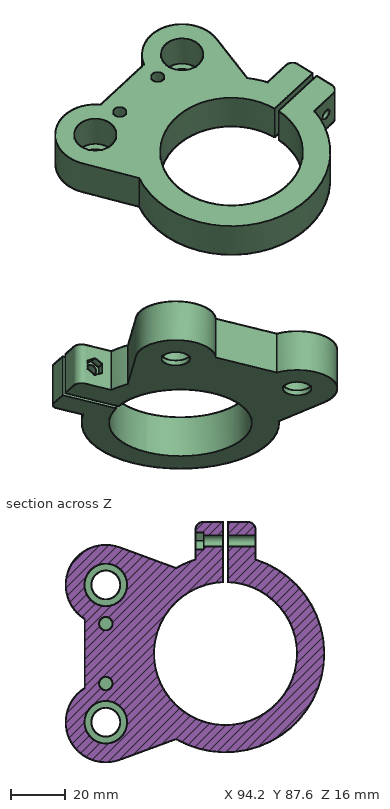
import cadquery as cq
import math

thickness = 16.0
ring_radius = 36.0
bore_radius = 26.0

ear_radius = 14.63
ear_x = -43.6
ear_spacing = 50.0
bearing_diameter = 15.4
rod_diameter = 10.4
bearing_floor = 2.0
web_end_angle = 120.0

screw_diameter = 4.8
screw_spacing = 21.8
screw_depth = 10.0

lug_width = 22.0
lug_end_y = 48.0
lug_corner_radius = 3.0
slit_width = 1.8

bolt_diameter = 4.0
bolt_y = 41.0
nut_across_corners = 7.0
nut_depth = 3.0

back_wall_x = ear_x - bearing_diameter / 2
ear_y = ear_spacing / 2


def polar(radius, angle):
    return radius * math.cos(angle), radius * math.sin(angle)


def make_web():
    """Plate joining the ears to the ring, with flanks tangent to the ears."""
    ring_x, ring_y = polar(ring_radius, math.radians(web_end_angle))
    reach_x = ring_x - ear_x
    reach_y = ring_y - ear_y
    reach = math.hypot(reach_x, reach_y)
    tangent_angle = math.atan2(reach_y, reach_x) + math.acos(ear_radius / reach)
    offset_x, offset_y = polar(ear_radius, tangent_angle)
    tangent_x = ear_x + offset_x
    tangent_y = ear_y + offset_y
    wall_y = ear_y - math.sqrt(ear_radius**2 - (ear_x - back_wall_x) ** 2)
    upper = [
        (back_wall_x, wall_y),
        (ear_x, ear_y),
        (tangent_x, tangent_y),
        (ring_x, ring_y),
    ]
    lower = [(x, -y) for x, y in reversed(upper)]
    return cq.Workplane("XY").polyline(upper + lower).close().extrude(thickness)


def make_lug():
    """Rectangular lug rooted at the ring centre, with its outer corners rounded."""
    return (
        cq.Workplane("XY")
        .center(0, lug_end_y / 2)
        .rect(lug_width, lug_end_y)
        .extrude(thickness)
        .edges("|Z and >Y")
        .fillet(lug_corner_radius)
    )


def make_body():
    ring = cq.Workplane("XY").circle(ring_radius).extrude(thickness)
    ears = (
        cq.Workplane("XY")
        .pushPoints([(ear_x, ear_y), (ear_x, -ear_y)])
        .circle(ear_radius)
        .extrude(thickness)
    )
    return ring.union(make_web()).union(ears).union(make_lug())


def cut_bore_and_slit(body):
    bore = cq.Workplane("XY").circle(bore_radius).extrude(thickness)
    slit = (
        cq.Workplane("XY")
        .center(0, lug_end_y / 2)
        .rect(slit_width, lug_end_y)
        .extrude(thickness)
    )
    return body.cut(bore).cut(slit)


def cut_ear_holes(body):
    """Stepped bearing bores in the ears and blind screw holes between them."""
    top = cq.Workplane("XY", origin=(ear_x, 0, thickness))
    for side in (1, -1):
        ear_centre = top.center(0, side * ear_y)
        bearing = ear_centre.circle(bearing_diameter / 2).extrude(bearing_floor - thickness)
        rod = ear_centre.circle(rod_diameter / 2).extrude(-thickness)
        screw = top.center(0, side * screw_spacing / 2).circle(screw_diameter / 2).extrude(-screw_depth)
        body = body.cut(bearing).cut(rod).cut(screw)
    return body


def cut_clamp_bolt(body):
    """Bolt hole across the lug and a nut pocket with two corners pointing along Z."""
    lug_face = cq.Workplane("YZ", origin=(-lug_width / 2, bolt_y, thickness / 2))
    bolt = lug_face.circle(bolt_diameter / 2).extrude(lug_width)
    turned_face = lug_face.transformed(rotate=(0, 0, 90))
    nut = turned_face.polygon(6, nut_across_corners).extrude(nut_depth)
    return body.cut(bolt).cut(nut)


result = cut_clamp_bolt(cut_ear_holes(cut_bore_and_slit(make_body())))